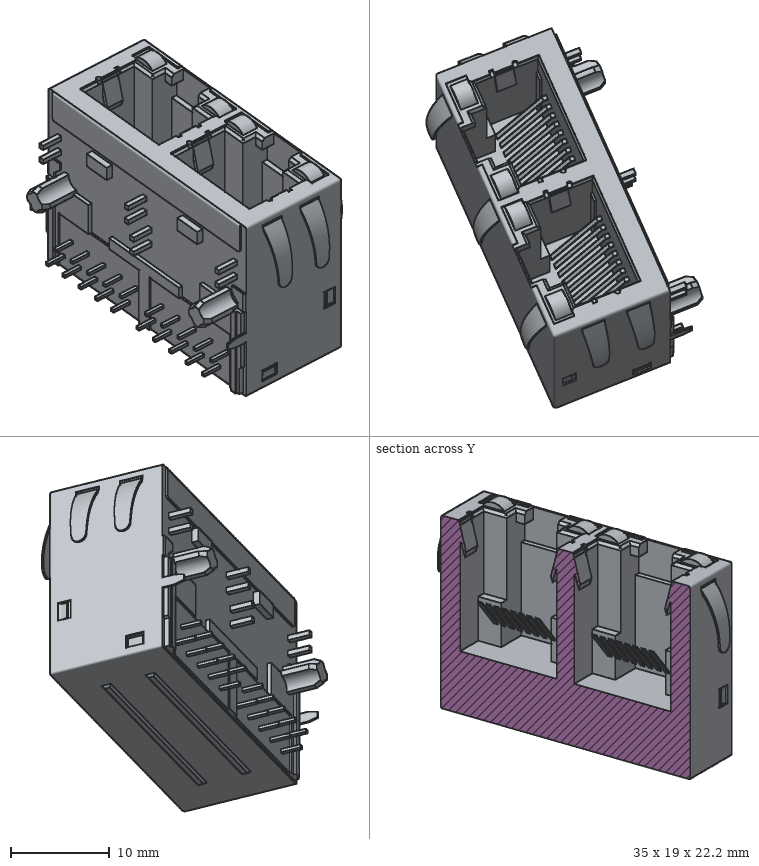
import cadquery as cq
import math


HALF_WIDTH = 15.47
DEPTH = 12.8
HEIGHT = 21.52
EDGE_RADIUS = 0.3
BOTTOM_RADIUS = 0.2
SHEET = 0.2
PORT_X = 7.07

MOUTH_BEVEL = 0.3
SHEET_MARGIN = 0.2
PLUG_HALF_WIDTH = 5.95
PLUG_Y = (2.52, 9.38)
LATCH_HALF_WIDTH = 3.1
LATCH_Y = 11.97
NUB_HALF_GAP = 2.05
NUB_Y = 11.05
NUB_BOTTOM = 19.95
SLOT_Y = 12.6
SLOT_BOTTOM = 17.35
FLOOR_Z = 7.0
SHELF_Y = 8.4
SHELF_Z = 11.9

WINDOW_OUTER = 7.0
WINDOW_INNER = 6.7
WINDOW_Y = (9.98, 12.2)
WINDOW_CORNER_Y = 9.7
REAR_NOTCH_HALF_WIDTH = 2.5
LIGHT_X = 5.25
LIGHT_WIDTH = 3.05
LIGHT_Y = (10.0, 11.9)
LIGHT_RISE = 0.42
LIGHT_RADIUS = 1.9

CONTACT_COUNT = 8
CONTACT_PITCH = 1.0
CONTACT_WIDTH = 0.5
CONTACT_BEND_Y = 3.0
CONTACT_END_Y = 8.1
CONTACT_ROOT_Z = 15.75
CONTACT_END_Z = 9.8
KEY_X = (4.9, 5.8)
KEY_HEIGHT = 0.25

SPRING_Y = (5.18, 7.25)
SPRING_REACH = 0.75
SPRING_LIP_X = (6.05, 6.35)
SPRING_BEND_Z = 18.2
SPRING_END_Z = 17.55
RELIEF_X = 6.55
RELIEF_Y = (7.25, 7.65)
RELIEF_RADIUS = 0.28

TOTAL_WIDTH = 35.0
SIDE_REACH = TOTAL_WIDTH / 2 - HALF_WIDTH
BACK_REACH = 1.95
FINGER_WIDTH = 2.55
FINGER_TIP_WIDTH = 1.68
FINGER_TOP = 20.35
FINGER_BEND_Z = 14.8
FINGER_END_Z = 13.5
FINGER_GAP = 0.35
SIDE_FINGER_Y = (3.5, 8.47)
BACK_FINGER_X = (-12.25, 0.0, 12.25)

FLAP_HALF_WIDTH = 14.63
FLAP_BOTTOM = 18.0
FLAP_RADIUS = 0.35
STANDOFF_SIZE = (3.1, 1.58)
STANDOFF_Z = 16.62
STANDOFF_HEIGHT = 0.75
BASE_BOTTOM = 0.25
BASE_TOP = 10.68
BASE_HALF_WIDTH = 13.9
BASE_HEIGHT = 0.45
BASE_LEG_INNER = 8.68
BASE_STEP_Z = 6.95
BASE_CENTER_HALF_WIDTH = 5.45
BASE_CENTER_TOP = 8.33
TRAY_X = (0.8, 13.37)
TRAY_HEIGHT = 0.25
RAIL_X = (BASE_HALF_WIDTH, 14.6)
RAIL_HEIGHT = 0.75
FLANGE_X = 15.15
FLANGE_NARROW_X = 14.95
FLANGE_STEP_Z = 3.7
FLANGE_HEIGHT = 0.52
PLATE_Z = (10.75, 13.1)
PLATE_INNER_X = 13.45
PLATE_SLANT_X = 14.35
PLATE_SLANT_Z = (11.4, 12.2)

PIN_END = 2.45
PINS_PER_PORT = 10
PIN_SPAN = 11.45
PIN_PITCH = PIN_SPAN / (PINS_PER_PORT - 1)
PIN_SIZE = (0.42, 0.35)
PIN_ROW_Z = (1.75, 4.27)
LIGHT_PIN_SIZE = 0.55
LIGHT_PINS = (
    (-13.72, (14.42, 16.2)),
    (-0.42, (14.42, 16.2)),
    (0.42, (10.9, 12.67)),
    (13.72, (14.42, 16.2)),
)

PEG_X = 12.65
PEG_Z = 10.68
PEG_RADIUS = 1.58
PEG_LENGTH = 4.27
PEG_CHAMFER = (0.4, 0.75)
PEG_TIP_HALF_WIDTH = 0.3
PEG_FLUTE_START = 1.5

TAB_Z = (6.95, 8.12)
TAB_TAPER_START = 1.45
TAB_TIP_HALF_HEIGHT = 0.3
UPPER_WINDOW_Y = (10.35, 11.83)
UPPER_WINDOW_Z = (6.1, 8.15)
UPPER_CATCH_Y = (11.48, 10.8, 10.75)
UPPER_CATCH_Z = (6.2, 8.05)
LOWER_WINDOW_Y = (2.1, 4.1)
LOWER_WINDOW_Z = (0.9, 2.3)
LOWER_CATCH_Y = (2.28, 3.95)
LOWER_CATCH_Z = (2.03, 2.0, 1.22)
BEAD_LENGTH = 22.12
BEAD_WIDTH = 1.05
BEAD_HEIGHT = 0.25
BEAD_Y = (3.55, 8.5)


def box(x, y, z):
    """Box spanning the given (low, high) limits."""
    size = (x[1] - x[0], y[1] - y[0], z[1] - z[0])
    return cq.Workplane("XY").box(*size, centered=False).translate((x[0], y[0], z[0]))


def both_sides(shape):
    return shape.union(shape.mirror("YZ"))


def front_plate(points, height):
    """Flat raised area on the front face from (x, z) points."""
    return cq.Workplane("XZ").polyline(points).close().extrude(height)


def make_housing():
    body = box((-HALF_WIDTH, HALF_WIDTH), (0, DEPTH), (0, HEIGHT))
    body = body.edges("(>Z or |Z) and (not <Y)").fillet(EDGE_RADIUS)
    return body.edges("<Z and (not <Y)").fillet(BOTTOM_RADIUS)


def mouth_outline(plug_half, y_low, y_step, latch_half, y_high):
    """T-shaped outline of a port mouth, as an XY polyline."""
    right = [(plug_half, y_low), (plug_half, y_step), (latch_half, y_step), (latch_half, y_high)]
    left = [(-x, y) for x, y in reversed(right)]
    return cq.Workplane("XY").polyline(right + left).close()


def make_port_cavity():
    """Everything removed for one port centred on X = 0; +X is the outer side of the jack."""
    deck = HEIGHT - SHEET
    above = HEIGHT + 0.35
    plug_half = PLUG_HALF_WIDTH + MOUTH_BEVEL
    mouth = (
        plug_half,
        PLUG_Y[0] - MOUTH_BEVEL,
        PLUG_Y[1] + MOUTH_BEVEL,
        LATCH_HALF_WIDTH + MOUTH_BEVEL,
        NUB_Y + MOUTH_BEVEL,
    )
    funnel = mouth_outline(*mouth).extrude(-MOUTH_BEVEL, taper=45).translate((0, 0, deck))
    throat = mouth_outline(PLUG_HALF_WIDTH, *PLUG_Y, LATCH_HALF_WIDTH, NUB_Y)
    throat = throat.extrude(above - FLOOR_Z).translate((0, 0, FLOOR_Z))
    for side in (-1, 1):
        shelf_x = sorted((side * LATCH_HALF_WIDTH, side * PLUG_HALF_WIDTH))
        throat = throat.cut(box(shelf_x, (SHELF_Y, PLUG_Y[1]), (FLOOR_Z, SHELF_Z)))

    latch_x = (-LATCH_HALF_WIDTH, LATCH_HALF_WIDTH)
    gap_x = (-NUB_HALF_GAP, NUB_HALF_GAP)
    latch = box(latch_x, (NUB_Y, LATCH_Y), (FLOOR_Z, NUB_BOTTOM))
    slot_under_nubs = box(latch_x, (NUB_Y, SLOT_Y), (SLOT_BOTTOM, NUB_BOTTOM))
    slot_between_nubs = box(gap_x, (NUB_Y, SLOT_Y), (SLOT_BOTTOM, above))

    sheet_half = PLUG_HALF_WIDTH + SHEET_MARGIN
    sheet_front = PLUG_Y[0] - SHEET_MARGIN
    sheet_points = [
        (sheet_half, sheet_front),
        (sheet_half, WINDOW_CORNER_Y),
        (WINDOW_INNER - MOUTH_BEVEL, WINDOW_Y[0]),
        (WINDOW_OUTER, WINDOW_Y[0]),
        (WINDOW_OUTER, WINDOW_Y[1]),
        (REAR_NOTCH_HALF_WIDTH, WINDOW_Y[1]),
        (REAR_NOTCH_HALF_WIDTH, DEPTH + 0.35),
        (-REAR_NOTCH_HALF_WIDTH, DEPTH + 0.35),
        (-REAR_NOTCH_HALF_WIDTH, WINDOW_Y[1]),
        (-WINDOW_INNER, WINDOW_Y[1]),
        (-WINDOW_INNER, WINDOW_Y[0]),
        (MOUTH_BEVEL - WINDOW_INNER, WINDOW_Y[0]),
        (-sheet_half, WINDOW_CORNER_Y),
        (-sheet_half, sheet_front),
    ]
    sheet_opening = cq.Workplane("XY").polyline(sheet_points).close().extrude(above - deck)
    sheet_opening = sheet_opening.translate((0, 0, deck))

    square_relief = box((-RELIEF_X, RELIEF_X), RELIEF_Y, (deck - MOUTH_BEVEL, above))
    relief_centers = [(side * (RELIEF_X - RELIEF_RADIUS), SPRING_Y[0] - RELIEF_RADIUS) for side in (-1, 1)]
    round_relief = cq.Workplane("XY").pushPoints(relief_centers).circle(RELIEF_RADIUS)
    round_relief = round_relief.extrude(above - deck + MOUTH_BEVEL).translate((0, 0, deck - MOUTH_BEVEL))

    cavity = funnel.union(throat).union(latch).union(slot_under_nubs).union(slot_between_nubs)
    return cavity.union(sheet_opening).union(square_relief).union(round_relief)


def make_light(x):
    """Light with a cylindrical dome standing proud of the top."""
    top = HEIGHT + LIGHT_RISE
    block = box(
        (x - LIGHT_WIDTH / 2, x + LIGHT_WIDTH / 2), LIGHT_Y, (top - LIGHT_RADIUS, top)
    )
    dome = cq.Workplane("XZ").center(x, top - LIGHT_RADIUS).circle(LIGHT_RADIUS)
    dome = dome.extrude(LIGHT_Y[0] - LIGHT_Y[1]).translate((0, LIGHT_Y[0], 0))
    return block.intersect(dome)


def make_contact(x):
    """Spring contact rooted in the front wall of a port and sloping down into it."""
    points = [
        (PLUG_Y[0] - SHEET, CONTACT_ROOT_Z),
        (CONTACT_BEND_Y, CONTACT_ROOT_Z),
        (CONTACT_END_Y, CONTACT_END_Z),
        (CONTACT_END_Y, CONTACT_END_Z - SHEET),
        (CONTACT_BEND_Y, CONTACT_ROOT_Z - SHEET),
        (PLUG_Y[0] - SHEET, CONTACT_ROOT_Z - SHEET),
    ]
    profile = cq.Workplane("YZ").polyline(points).close()
    return profile.extrude(CONTACT_WIDTH).translate((x - CONTACT_WIDTH / 2, 0, 0))


def make_port_spring():
    """Sheet tongue bent from the +X rim of a port into the port and back."""
    back = SPRING_LIP_X[1] + SHEET
    inner = PLUG_HALF_WIDTH - SPRING_REACH
    points = [
        (back, HEIGHT),
        (SPRING_LIP_X[1], HEIGHT),
        (SPRING_LIP_X[0], HEIGHT - SHEET),
        (inner, SPRING_BEND_Z),
        (inner + SHEET, SPRING_END_Z),
        (inner + 2 * SHEET, SPRING_BEND_Z),
        (back, HEIGHT - 2 * SHEET),
    ]
    tongue = cq.Workplane("XZ").polyline(points).close().extrude(SPRING_Y[0] - SPRING_Y[1])
    return tongue.translate((0, SPRING_Y[0], 0))


def make_port_fittings():
    """Lights, contacts, keys and springs of one port centred on X = 0."""
    parts = make_light(-LIGHT_X).union(make_light(LIGHT_X))
    for index in range(CONTACT_COUNT):
        offset = index - (CONTACT_COUNT - 1) / 2
        parts = parts.union(make_contact(offset * CONTACT_PITCH))
    key = box(KEY_X, (PLUG_Y[0] - SHEET, PLUG_Y[0] + KEY_HEIGHT), (FLOOR_Z, SPRING_END_Z))
    return parts.union(both_sides(key)).union(both_sides(make_port_spring()))


def make_finger(reach):
    """Curved, tapering finger that leaves the plane X = 0 toward +X, centred on Y = 0."""
    drop = FINGER_TOP - FINGER_BEND_Z
    radius = (reach**2 + drop**2) / (2 * reach)
    center_x = reach - radius
    tip_radius = FINGER_TIP_WIDTH / 2
    ring = cq.Workplane("XZ").center(center_x, FINGER_BEND_Z).circle(radius).circle(radius - SHEET)
    ring = ring.extrude(FINGER_WIDTH / 2, both=True)
    root = -SHEET
    curved = ring.intersect(
        box((root, reach), (-FINGER_WIDTH / 2, FINGER_WIDTH / 2), (FINGER_BEND_Z, FINGER_TOP + 0.35))
    )
    straight = box(
        (reach - SHEET, reach), (-FINGER_WIDTH / 2, FINGER_WIDTH / 2), (FINGER_END_Z, FINGER_BEND_Z)
    )
    outline = (
        cq.Workplane("YZ")
        .moveTo(-FINGER_WIDTH / 2, FINGER_TOP + 0.35)
        .lineTo(-tip_radius, FINGER_END_Z + tip_radius)
        .threePointArc((0, FINGER_END_Z), (tip_radius, FINGER_END_Z + tip_radius))
        .lineTo(FINGER_WIDTH / 2, FINGER_TOP + 0.35)
        .close()
        .extrude(reach - root)
        .translate((root, 0, 0))
    )
    return curved.union(straight).intersect(outline)


def make_fingers():
    side = make_finger(SIDE_REACH).translate((HALF_WIDTH, 0, 0))
    back = make_finger(BACK_REACH).rotate((0, 0, 0), (0, 0, 1), 90).translate((0, DEPTH, 0))
    fingers = both_sides(side.translate((0, SIDE_FINGER_Y[0], 0)))
    fingers = fingers.union(both_sides(side.translate((0, SIDE_FINGER_Y[1], 0))))
    for x in BACK_FINGER_X:
        fingers = fingers.union(back.translate((x, 0, 0)))
    return fingers


def make_finger_gaps():
    """Shallow gaps in the side sheets just above the finger roots."""
    gaps = cq.Workplane("XY")
    for y in SIDE_FINGER_Y:
        gap = box(
            (HALF_WIDTH - SHEET / 2, HALF_WIDTH + 0.35),
            (y - FINGER_WIDTH / 2, y + FINGER_WIDTH / 2),
            (FINGER_TOP, FINGER_TOP + FINGER_GAP),
        )
        gaps = gaps.add(both_sides(gap))
    return gaps.combine()


def make_flap():
    """Sheet flap folded from the top down over the front face."""
    flap = box((-FLAP_HALF_WIDTH, FLAP_HALF_WIDTH), (-SHEET, EDGE_RADIUS), (FLAP_BOTTOM, HEIGHT))
    flap = flap.edges("|Y and <Z").fillet(FLAP_RADIUS)
    return flap.edges("<Y and >Z").fillet(EDGE_RADIUS)


def make_base():
    """Raised base of the front face, with a lower tray around each port's pins."""
    half = [
        (0, BASE_BOTTOM),
        (BASE_HALF_WIDTH, BASE_BOTTOM),
        (BASE_HALF_WIDTH, BASE_TOP),
        (BASE_LEG_INNER, BASE_TOP),
        (BASE_LEG_INNER, BASE_STEP_Z),
        (BASE_CENTER_HALF_WIDTH, BASE_STEP_Z),
        (BASE_CENTER_HALF_WIDTH, BASE_CENTER_TOP),
        (0, BASE_CENTER_TOP),
    ]
    base = both_sides(front_plate(half, BASE_HEIGHT))
    tray_z = (BASE_BOTTOM, BASE_STEP_Z)
    base = base.cut(both_sides(box(TRAY_X, (-BASE_HEIGHT, 0), tray_z)))
    base = base.union(both_sides(box(TRAY_X, (-TRAY_HEIGHT, 0), tray_z)))

    rail = box(RAIL_X, (-RAIL_HEIGHT, 0), (BASE_BOTTOM, BASE_TOP))
    flange_points = [
        (RAIL_X[1], BASE_BOTTOM),
        (FLANGE_NARROW_X, BASE_BOTTOM),
        (FLANGE_NARROW_X, FLANGE_STEP_Z - SHEET),
        (FLANGE_X, FLANGE_STEP_Z),
        (FLANGE_X, BASE_TOP),
        (RAIL_X[1], BASE_TOP),
    ]
    flange = front_plate(flange_points, FLANGE_HEIGHT)
    standoff = cq.Workplane("XZ").center(PORT_X, STANDOFF_Z).rect(*STANDOFF_SIZE)
    standoff = standoff.extrude(STANDOFF_HEIGHT)
    return base.union(both_sides(rail)).union(both_sides(flange)).union(both_sides(standoff))


def make_corner_plates():
    """Sheet plates above the flanges, cut away diagonally beside the pegs."""
    points = [
        (HALF_WIDTH, PLATE_Z[0]),
        (HALF_WIDTH, PLATE_Z[1]),
        (PLATE_INNER_X, PLATE_Z[1]),
        (PLATE_INNER_X, PLATE_SLANT_Z[1]),
        (PLATE_SLANT_X, PLATE_SLANT_Z[0]),
        (PLATE_SLANT_X, PLATE_Z[0]),
    ]
    plate = front_plate(points, SHEET)
    return both_sides(plate.edges(">X and <Y").chamfer(SHEET / 2, HALF_WIDTH - FLANGE_X))


def make_peg():
    """Fluted board peg with a chamfered end, pointing toward -Y."""
    flute = PEG_FLUTE_START
    tip = PEG_TIP_HALF_WIDTH
    middle = flute - (flute - tip) * math.sqrt(0.5)
    star = cq.Workplane("XZ").moveTo(PEG_RADIUS, -tip)
    for quarter in range(4):
        cos = round(math.cos(quarter * math.pi / 2))
        sin = round(math.sin(quarter * math.pi / 2))
        corners = [(PEG_RADIUS, tip), (flute, tip), (middle, middle), (tip, flute), (tip, PEG_RADIUS)]
        turned = [(x * cos - z * sin, x * sin + z * cos) for x, z in corners]
        star = star.lineTo(*turned[0]).lineTo(*turned[1])
        star = star.threePointArc(turned[2], turned[3]).lineTo(*turned[4])
    star = star.close().extrude(PEG_LENGTH)
    envelope = cq.Workplane("XZ").circle(PEG_RADIUS).extrude(PEG_LENGTH)
    envelope = envelope.faces("<Y").chamfer(PEG_CHAMFER[1], PEG_CHAMFER[0])
    return star.intersect(envelope).translate((PEG_X, 0, PEG_Z))


def make_pin(x, z, width, height):
    return cq.Workplane("XZ").center(x, z).rect(width, height).extrude(PIN_END)


def make_pins():
    pins = cq.Workplane("XY")
    for port_x in (-PORT_X, PORT_X):
        for index in range(PINS_PER_PORT):
            offset = index * PIN_PITCH - PIN_SPAN / 2
            pins = pins.add(make_pin(port_x + offset, PIN_ROW_Z[index % 2], *PIN_SIZE))
    for x, heights in LIGHT_PINS:
        for z in heights:
            pins = pins.add(make_pin(x, z, LIGHT_PIN_SIZE, LIGHT_PIN_SIZE))
    return pins.combine()


def make_side_tab():
    """Tapered grounding tab continuing the side sheet past the front face."""
    middle = sum(TAB_Z) / 2
    points = [
        (SHEET, TAB_Z[0]),
        (-TAB_TAPER_START, TAB_Z[0]),
        (-PIN_END, middle - TAB_TIP_HALF_HEIGHT),
        (-PIN_END, middle + TAB_TIP_HALF_HEIGHT),
        (-TAB_TAPER_START, TAB_Z[1]),
        (SHEET, TAB_Z[1]),
    ]
    tab = cq.Workplane("YZ").polyline(points).close().extrude(SHEET)
    return tab.translate((HALF_WIDTH - SHEET, 0, 0))


def make_bead(y):
    """Long tapered bead under the bottom."""
    bead = cq.Workplane("XY").rect(BEAD_LENGTH, BEAD_WIDTH).extrude(-BEAD_HEIGHT, taper=45)
    return bead.translate((0, y, 0))


def cut_catches(body):
    """Windows in the sides, each with a ridged catch inside."""
    face = (HALF_WIDTH - SHEET, HALF_WIDTH + 0.35)
    upper = box(face, UPPER_WINDOW_Y, UPPER_WINDOW_Z)
    lower = box(face, LOWER_WINDOW_Y, LOWER_WINDOW_Z)
    body = body.cut(both_sides(upper)).cut(both_sides(lower))
    root = HALF_WIDTH - SHEET
    crest = HALF_WIDTH - SHEET / 3
    back, ridge, front = UPPER_CATCH_Y
    upper_catch = cq.Workplane("XY").polyline([(root, back), (crest, ridge), (root, front)]).close()
    upper_catch = upper_catch.extrude(UPPER_CATCH_Z[1] - UPPER_CATCH_Z[0]).translate((0, 0, UPPER_CATCH_Z[0]))
    top, ridge, bottom = LOWER_CATCH_Z
    lower_catch = cq.Workplane("XZ").polyline([(root, top), (crest, ridge), (root, bottom)]).close()
    lower_catch = lower_catch.extrude(LOWER_CATCH_Y[0] - LOWER_CATCH_Y[1]).translate((0, LOWER_CATCH_Y[0], 0))
    return body.union(both_sides(upper_catch)).union(both_sides(lower_catch))


def build():
    body = make_housing().union(make_flap())
    body = body.cut(both_sides(make_port_cavity().translate((PORT_X, 0, 0))))
    body = body.union(both_sides(make_port_fittings().translate((PORT_X, 0, 0))))
    body = cut_catches(body).cut(make_finger_gaps())
    body = body.union(make_fingers())
    body = body.union(make_base()).union(make_corner_plates())
    body = body.union(both_sides(make_peg())).union(make_pins())
    body = body.union(both_sides(make_side_tab()))
    for y in BEAD_Y:
        body = body.union(make_bead(y))
    return body


result = build()